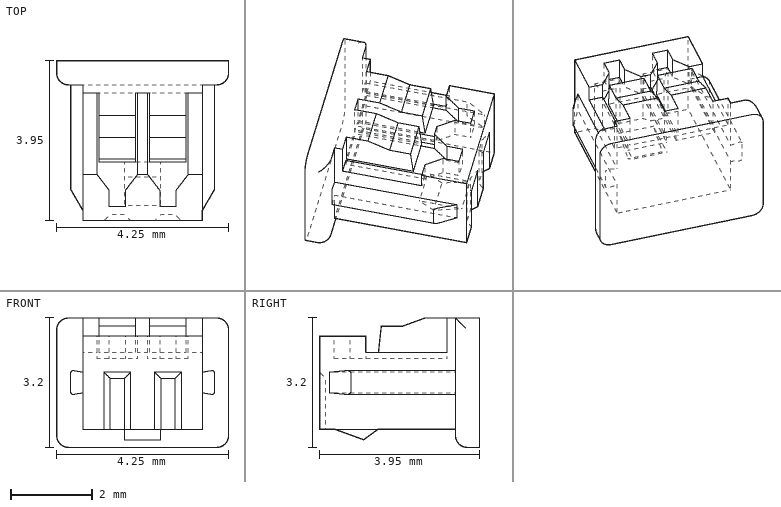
import cadquery as cq


flange_width = 4.25
total_depth = 3.95
total_height = 3.2

flange_thickness = 0.6
flange_round = 0.3
flange_front_y = total_depth - flange_thickness

body_width = 2.95
body_bottom_z = 0.45
body_top_z = 2.75
side_x = body_width / 2

deck_front_y = 1.14
deck_back_y = 3.15
deck_z = 2.35

contact_pitch = 1.25
contact_centers = (-contact_pitch / 2, contact_pitch / 2)

pocket_width = 1.0
pocket_floor_z = 2.2
pocket_slot_width = 0.4
pocket_slot_front_y = 0.35
funnel_front_y = 0.75

finger_width = 0.9
finger_crest_y = 2.6
finger_step_y = 2.05
finger_tip_y = 1.52
finger_tip_z = 3.0
finger_tip_bottom_y = 1.45

groove_width = 0.66
groove_top_z = 1.86
groove_depth = 0.15
groove_flare = 0.155

rail_center_z = 1.605
rail_projection = 0.3
rail_root_height = 0.51
rail_outer_height = 0.61
rail_edge_round = 0.06
rail_front_y = 0.25
rail_full_y = 0.77

nib_width = 0.89
nib_front_y = 0.37
nib_apex_y = 1.085
nib_back_y = 1.445
nib_apex_z = 0.19


def block(x_limits, y_limits, z_limits):
    """Box between the given limits."""
    lows, highs = zip(x_limits, y_limits, z_limits)
    sizes = [high - low for low, high in zip(lows, highs)]
    return cq.Workplane("XY").box(*sizes, centered=False).translate(lows)


def side_profile_solid(yz_points, width, center_x=0):
    """Prism along X, centered on center_x, from a profile in Y and Z."""
    profile = cq.Workplane("YZ", origin=(center_x, 0, 0)).polyline(yz_points).close()
    return profile.extrude(width / 2, both=True)


def make_flange():
    """Plate with rounded corners; the front edge is rounded except along the top."""
    half_width = flange_width / 2
    x_limits = (-half_width, half_width)
    y_limits = (flange_front_y, total_depth)
    tall = block(x_limits, y_limits, (0, total_height + 2 * flange_round))
    tall = tall.edges("|Y and <Z").fillet(flange_round)
    tall = tall.faces("<Y").edges().fillet(flange_round)
    outline = block(x_limits, y_limits, (0, total_height))
    outline = outline.edges("|Y and >Z").fillet(flange_round)
    return tall.intersect(outline)


def make_body():
    """Body block with its lowered deck and the tall root next to the flange."""
    profile = [
        (0, body_bottom_z),
        (0, body_top_z),
        (deck_front_y, body_top_z),
        (deck_front_y, deck_z),
        (deck_back_y, deck_z),
        (deck_back_y, total_height),
        (total_depth, total_height),
        (total_depth, body_bottom_z),
    ]
    return side_profile_solid(profile, body_width)


def make_pocket(center_x):
    """Cutter for one contact pocket with its funnel and front slot."""
    half_pocket = pocket_width / 2
    half_slot = pocket_slot_width / 2
    outline = [
        (-half_pocket, deck_back_y),
        (-half_pocket, deck_front_y),
        (-half_slot, funnel_front_y),
        (-half_slot, pocket_slot_front_y),
        (half_slot, pocket_slot_front_y),
        (half_slot, funnel_front_y),
        (half_pocket, deck_front_y),
        (half_pocket, deck_back_y),
    ]
    pocket = cq.Workplane("XY", origin=(center_x, 0, pocket_floor_z)).polyline(outline).close()
    return pocket.extrude(body_top_z - pocket_floor_z)


def make_finger(center_x):
    """Cantilever finger rooted in the tall rear part, clear of the pocket floor."""
    profile = [
        (flange_front_y, deck_z),
        (flange_front_y, total_height),
        (finger_crest_y, total_height),
        (finger_step_y, finger_tip_z),
        (finger_tip_y, finger_tip_z),
        (finger_tip_bottom_y, deck_z),
    ]
    return side_profile_solid(profile, finger_width, center_x)


def make_groove(center_x):
    """Cutter for one front groove, flared towards the front face on three sides."""

    def opening(y, inset):
        half_width = groove_width / 2 - inset
        top_z = groove_top_z - inset
        corners = [
            (center_x - half_width, y, body_bottom_z),
            (center_x - half_width, y, top_z),
            (center_x + half_width, y, top_z),
            (center_x + half_width, y, body_bottom_z),
        ]
        return cq.Wire.makePolygon([cq.Vector(*corner) for corner in corners], close=True)

    wires = [opening(0, 0), opening(groove_depth, groove_flare)]
    return cq.Workplane(cq.Solid.makeLoft(wires, True))


def make_rail():
    """Guide rail on the +X side, with a slanted front end."""
    outer_x = side_x + rail_projection
    half_root = rail_root_height / 2
    half_outer = rail_outer_height / 2
    section = [
        (side_x, rail_center_z - half_root),
        (outer_x, rail_center_z - half_outer),
        (outer_x, rail_center_z + half_outer),
        (side_x, rail_center_z + half_root),
    ]
    rail = cq.Workplane("XZ").polyline(section).close().extrude(-flange_front_y)
    rail = rail.edges("|Y and >X").fillet(rail_edge_round)
    plan = [
        (side_x, rail_front_y),
        (outer_x, rail_full_y),
        (outer_x, flange_front_y),
        (side_x, flange_front_y),
    ]
    envelope = cq.Workplane("XY").polyline(plan).close().extrude(total_height)
    return rail.intersect(envelope)


def make_nib():
    """Wedge-shaped locking nib below the body."""
    profile = [
        (nib_front_y, body_bottom_z),
        (nib_apex_y, nib_apex_z),
        (nib_back_y, body_bottom_z),
    ]
    return side_profile_solid(profile, nib_width)


housing = make_body()
for contact_x in contact_centers:
    housing = housing.cut(make_pocket(contact_x))
    housing = housing.cut(make_groove(contact_x))
    housing = housing.union(make_finger(contact_x))

right_rail = make_rail()
housing = housing.union(right_rail).union(right_rail.mirror("YZ"))
housing = housing.union(make_nib())
result = housing.union(make_flange())